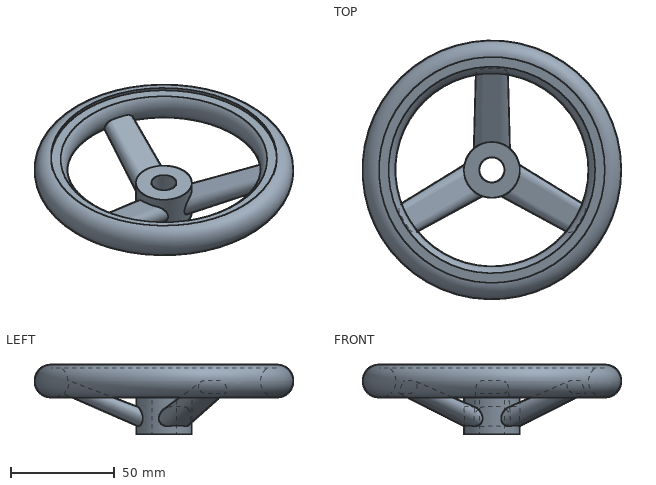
import cadquery as cq
import math

wheel_diameter = 125.0
wheel_height = 33.8
rim_thickness = 16.0
step_depth = 1.5

hub_diameter = 27.0
hub_height = 18.0
bore_diameter = 12.0

spoke_count = 3
first_spoke_angle = 90.0
spoke_flat_width = 8.8
spoke_root_thickness = 9.0
spoke_tip_thickness = 6.5
spoke_root_radius = 8.2
spoke_root_height = 6.9

rim_tube_radius = rim_thickness / 2
rim_centre_radius = wheel_diameter / 2 - rim_tube_radius
rim_centre_height = wheel_height - rim_tube_radius


def make_rim():
    ring = cq.Workplane("XZ").center(rim_centre_radius, rim_centre_height).circle(rim_tube_radius)
    ring = ring.revolve(360, (-rim_centre_radius, 0), (-rim_centre_radius, 1))
    step = (
        cq.Workplane("XY")
        .workplane(offset=wheel_height - step_depth)
        .circle(rim_centre_radius)
        .extrude(rim_thickness)
    )
    return ring.cut(step)


def make_spoke():
    """Spoke along +X, rising from the hub to the centre of the rim's round section."""
    run = rim_centre_radius - spoke_root_radius
    rise = rim_centre_height - spoke_root_height
    root_plane = cq.Plane(
        origin=(spoke_root_radius, 0, spoke_root_height),
        xDir=(0, 1, 0),
        normal=(run, 0, rise),
    )
    return (
        cq.Workplane(root_plane)
        .slot2D(spoke_flat_width + spoke_root_thickness, spoke_root_thickness)
        .workplane(offset=math.hypot(run, rise))
        .slot2D(spoke_flat_width + spoke_tip_thickness, spoke_tip_thickness)
        .loft(ruled=True)
    )


hub = cq.Workplane("XY").circle(hub_diameter / 2).circle(bore_diameter / 2).extrude(hub_height)

result = make_rim().union(hub)
spoke = make_spoke()
for index in range(spoke_count):
    angle = first_spoke_angle + index * 360 / spoke_count
    result = result.union(spoke.rotate((0, 0, 0), (0, 0, 1), angle))